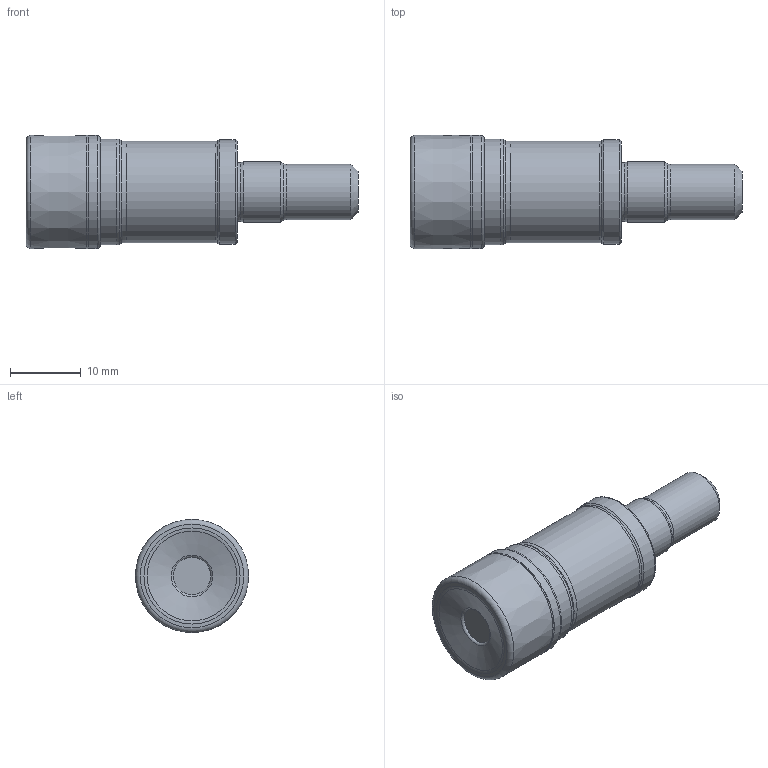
import cadquery as cq
import math

TOTAL_LENGTH = 47.0
FRONT_X = 0.0

CAP_END_X = 8.55
CAP_FRONT_DIAMETER = 16.04
CAP_REAR_DIAMETER = 16.0
CAP_EDGE_RADIUS = 0.7
DISH_RIM_DIAMETER = 13.6
DISH_CONE_DIAMETER = 12.7
HOLE_DIAMETER = 5.3
HOLE_LIP_RADIUS = 0.4
DISH_ANGLE = math.radians(16.0)

BAND_WIDTH = 0.25
BAND_DIAMETER = 16.04
COLLAR_DIAMETER = 16.0
COLLAR_END_X = 10.5
COLLAR_EDGE_RADIUS = 0.43
SHOULDER_DIAMETER = 15.0
BARREL_DIAMETER = 14.35
FLANGE_DIAMETER = 14.75
FLANGE_START_X = 27.4
FLANGE_END_X = 29.9
FLANGE_EDGE_RADIUS = 0.3

SHOULDER_ROUND_X = 12.8
SHOULDER_CONE_X = 13.2
SHOULDER_CONE_DIAMETER = 14.87
SHOULDER_FILLET_X = 13.5
SHOULDER_FILLET_DIAMETER = 14.55
BARREL_START_X = 14.2

BARREL_END_X = 26.8
FLANGE_CONE_X = 27.1
FLANGE_CONE_DIAMETER = 14.48

STEM_DIAMETER = 8.5
STEM_ROOT_DIAMETER = STEM_DIAMETER
STEM_NECK_X = 30.3
STEM_NECK_DIAMETER = 8.3
STEM_START_X = 30.75
STEM_END_X = 36.0
STEM_FILLET_X = 36.4
STEM_FILLET_DIAMETER = 8.0
TIP_START_X = 36.85
TIP_DIAMETER = 7.8
TIP_CHAMFER = 1.0


def arc_middle(tangent_x, tangent_radius, other_x, other_radius):
    """Middle of the arc that runs along X at the tangent point and ends at the other point."""
    run = other_x - tangent_x
    rise = other_radius - tangent_radius
    bend_radius = (run**2 + rise**2) / (2 * abs(rise))
    half_turn = math.atan2(abs(rise), abs(run))
    middle_x = tangent_x + math.copysign(bend_radius * math.sin(half_turn), run)
    middle_radius = tangent_radius + math.copysign(bend_radius * (1 - math.cos(half_turn)), rise)
    return (middle_x, middle_radius)


def round_middle(centre_x, centre_radius, radius, axial_side):
    """Middle of an outward quarter round; axial_side is -1 toward the front, +1 toward the tip."""
    reach = radius * math.sqrt(0.5)
    return (centre_x + axial_side * reach, centre_radius + reach)


def turn_about_x(profile):
    return profile.close().revolve(360, (0, 0, 0), (1, 0, 0))


def make_cap():
    front_radius = CAP_FRONT_DIAMETER / 2
    edge_round_x = FRONT_X + CAP_EDGE_RADIUS
    edge_round_radius = front_radius - CAP_EDGE_RADIUS
    rim_radius = DISH_RIM_DIAMETER / 2
    cone_radius = DISH_CONE_DIAMETER / 2
    hole_radius = HOLE_DIAMETER / 2

    bend_radius = (rim_radius - cone_radius) / math.sin(DISH_ANGLE)
    cone_x = FRONT_X + bend_radius * (1 - math.cos(DISH_ANGLE))
    rim_middle = (
        FRONT_X + bend_radius * (1 - math.cos(DISH_ANGLE / 2)),
        rim_radius - bend_radius * math.sin(DISH_ANGLE / 2),
    )

    lip_centre_radius = hole_radius + HOLE_LIP_RADIUS
    mouth_radius = lip_centre_radius - HOLE_LIP_RADIUS * math.sin(DISH_ANGLE)
    mouth_x = cone_x + (cone_radius - mouth_radius) * math.tan(DISH_ANGLE)
    floor_x = mouth_x + HOLE_LIP_RADIUS * math.cos(DISH_ANGLE)
    lip_middle_angle = (DISH_ANGLE + math.pi / 2) / 2
    lip_middle = (
        floor_x - HOLE_LIP_RADIUS * math.cos(lip_middle_angle),
        lip_centre_radius - HOLE_LIP_RADIUS * math.sin(lip_middle_angle),
    )
    profile = (
        cq.Workplane("XY")
        .moveTo(floor_x, 0)
        .lineTo(floor_x, hole_radius)
        .threePointArc(lip_middle, (mouth_x, mouth_radius))
        .lineTo(cone_x, cone_radius)
        .threePointArc(rim_middle, (FRONT_X, rim_radius))
        .lineTo(FRONT_X, edge_round_radius)
        .threePointArc(
            round_middle(edge_round_x, edge_round_radius, CAP_EDGE_RADIUS, -1),
            (edge_round_x, front_radius),
        )
        .lineTo(CAP_END_X, CAP_REAR_DIAMETER / 2)
        .lineTo(CAP_END_X, 0)
    )
    return turn_about_x(profile)


def make_body():
    band_radius = BAND_DIAMETER / 2
    band_end_x = CAP_END_X + BAND_WIDTH
    collar_radius = COLLAR_DIAMETER / 2
    collar_round_x = COLLAR_END_X - COLLAR_EDGE_RADIUS
    collar_round_radius = collar_radius - COLLAR_EDGE_RADIUS
    shoulder_radius = SHOULDER_DIAMETER / 2
    shoulder_cone = (SHOULDER_CONE_X, SHOULDER_CONE_DIAMETER / 2)
    shoulder_fillet = (SHOULDER_FILLET_X, SHOULDER_FILLET_DIAMETER / 2)
    barrel_radius = BARREL_DIAMETER / 2
    flange_cone = (FLANGE_CONE_X, FLANGE_CONE_DIAMETER / 2)
    flange_radius = FLANGE_DIAMETER / 2
    flange_round_x = FLANGE_END_X - FLANGE_EDGE_RADIUS
    flange_round_radius = flange_radius - FLANGE_EDGE_RADIUS
    stem_root = (FLANGE_END_X, STEM_ROOT_DIAMETER / 2)
    neck_radius = STEM_NECK_DIAMETER / 2
    stem_radius = STEM_DIAMETER / 2
    stem_fillet = (STEM_FILLET_X, STEM_FILLET_DIAMETER / 2)
    tip_radius = TIP_DIAMETER / 2
    profile = (
        cq.Workplane("XY")
        .moveTo(CAP_END_X, 0)
        .lineTo(CAP_END_X, band_radius)
        .lineTo(band_end_x, band_radius)
        .lineTo(band_end_x, collar_radius)
        .lineTo(collar_round_x, collar_radius)
        .threePointArc(
            round_middle(collar_round_x, collar_round_radius, COLLAR_EDGE_RADIUS, 1),
            (COLLAR_END_X, collar_round_radius),
        )
        .lineTo(COLLAR_END_X, shoulder_radius)
        .lineTo(SHOULDER_ROUND_X, shoulder_radius)
        .threePointArc(arc_middle(SHOULDER_ROUND_X, shoulder_radius, *shoulder_cone), shoulder_cone)
        .lineTo(*shoulder_fillet)
        .threePointArc(
            arc_middle(BARREL_START_X, barrel_radius, *shoulder_fillet),
            (BARREL_START_X, barrel_radius),
        )
        .lineTo(BARREL_END_X, barrel_radius)
        .threePointArc(arc_middle(BARREL_END_X, barrel_radius, *flange_cone), flange_cone)
        .lineTo(FLANGE_START_X, flange_radius)
        .lineTo(flange_round_x, flange_radius)
        .threePointArc(
            round_middle(flange_round_x, flange_round_radius, FLANGE_EDGE_RADIUS, 1),
            (FLANGE_END_X, flange_round_radius),
        )
        .lineTo(*stem_root)
        .threePointArc(arc_middle(STEM_NECK_X, neck_radius, *stem_root), (STEM_NECK_X, neck_radius))
        .lineTo(STEM_START_X, stem_radius)
        .lineTo(STEM_END_X, stem_radius)
        .lineTo(*stem_fillet)
        .threePointArc(arc_middle(TIP_START_X, tip_radius, *stem_fillet), (TIP_START_X, tip_radius))
        .lineTo(TOTAL_LENGTH - TIP_CHAMFER, tip_radius)
        .lineTo(TOTAL_LENGTH, tip_radius - TIP_CHAMFER)
        .lineTo(TOTAL_LENGTH, 0)
    )
    return turn_about_x(profile)


cap = make_cap()
body = make_body()
result = cq.Compound.makeCompound([cap.val(), body.val()])